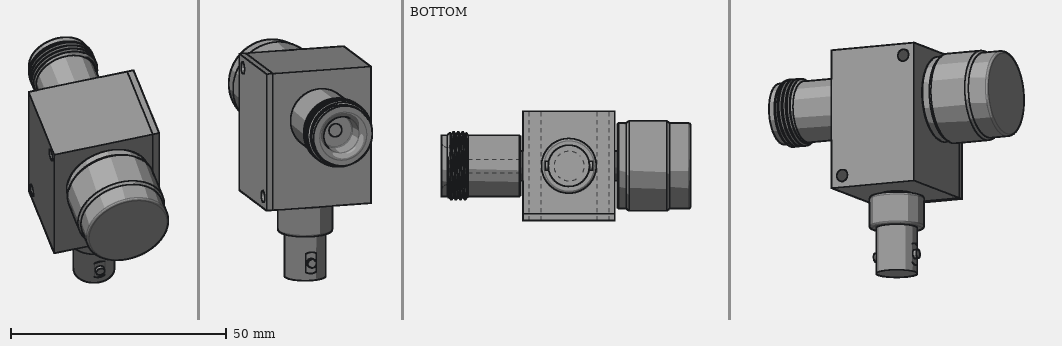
import cadquery as cq
HOUSING_WIDTH = 21.35
HOUSING_HEIGHT = 32.65
HOUSING_TOP = 11.35
BOX_DEPTH = 25.4
COVER_THICKNESS = 1.55
MOUNT_HOLE_DIAMETER = 2.8
MOUNT_HOLE_INSET = 2.8

HOUSING_RIGHT = HOUSING_WIDTH / 2
HOUSING_BOTTOM = HOUSING_TOP - HOUSING_HEIGHT
BOX_BACK = BOX_DEPTH / 2
COVER_JOINT = BOX_BACK - COVER_THICKNESS

NECK_DIAMETER = 6.95

JACK_LENGTH = 18.95
JACK_DIAMETER = 14.3
JACK_NECK_LENGTH = 0.45
JACK_REAR_CHAMFER = 0.4
BORE_MOUTH_DIAMETER = 8.55
BORE_FLOOR_DIAMETER = 8.05
BORE_DEPTH = 5.95
BORE_MOUTH_RADIUS = 1.45
BORE_FLOOR_RADIUS = 0.2
BORE_FLOOR = JACK_LENGTH - BORE_DEPTH
CONTACT_DIAMETER = 3.1

THREAD_DIAMETER = 15.75
THREAD_SETBACK = 1.4
THREAD_LENGTH = 4.85
THREAD_PITCH = 1.06
GROOVE_DEPTH = 0.6
GROOVE_WIDTH = 0.85
GROOVE_ROOT_WIDTH = 0.1
GROOVE_TURNS = 6.5
GROOVE_START_SETBACK = 7.35
GROOVE_OVERSHOOT = 0.2
BAND_WALL = 1.15

PLUG_LENGTH = 17.6
PLUG_DIAMETER = 19.9
PLUG_NECK_LENGTH = 0.5
PLUG_REAR_CHAMFER = 0.35
PLUG_TIP_RADIUS = 0.5
GRIP_DIAMETER = 20.95
GRIP_START = 2.6
GRIP_END = 12.75
GRIP_BEVEL_LENGTH = 0.7

BAYONET_LENGTH = 18.95
BAYONET_NECK_LENGTH = 0.75
COLLAR_DIAMETER = 12.75
COLLAR_END = 8.15
COLLAR_ROUNDING = 0.5
BARREL_DIAMETER = 9.6
LUG_DISTANCE = 14.7
LUG_DIAMETER = 2.1
LUG_SPAN = 11.05
SPOT_FACE_DIAMETER = 5.1
SPOT_FACE_SPAN = 9.25


def rod(diameter, start, end):
    """A cylinder on the Z axis between two heights."""
    return cq.Workplane("XY").workplane(offset=start).circle(diameter / 2).extrude(end - start)


def make_box_layer(y_start, y_end):
    """A slice of the rectangular box with the two diagonal mounting holes through it."""
    hole_x = HOUSING_RIGHT - MOUNT_HOLE_INSET
    hole_places = [
        (hole_x, HOUSING_TOP - MOUNT_HOLE_INSET),
        (-hole_x, HOUSING_BOTTOM + MOUNT_HOLE_INSET),
    ]
    face = cq.Workplane("XZ", origin=(0, y_end, 0))
    thickness = y_end - y_start
    middle_z = (HOUSING_TOP + HOUSING_BOTTOM) / 2
    layer = face.center(0, middle_z).rect(HOUSING_WIDTH, HOUSING_HEIGHT).extrude(thickness)
    holes = face.pushPoints(hole_places).circle(MOUNT_HOLE_DIAMETER / 2).extrude(thickness)
    return layer.cut(holes)


def make_groove():
    """The helical V groove of the thread, as a cutter."""
    start = JACK_LENGTH - GROOVE_START_SETBACK
    root_radius = THREAD_DIAMETER / 2 - GROOVE_DEPTH
    outer_radius = THREAD_DIAMETER / 2 + GROOVE_OVERSHOOT
    root_half = GROOVE_ROOT_WIDTH / 2
    flank_slope = (GROOVE_WIDTH / 2 - root_half) / GROOVE_DEPTH
    outer_half = GROOVE_WIDTH / 2 + flank_slope * GROOVE_OVERSHOOT
    helix = cq.Wire.makeHelix(
        THREAD_PITCH, GROOVE_TURNS * THREAD_PITCH, root_radius, center=cq.Vector(0, 0, start)
    )
    profile = (
        cq.Workplane("XZ")
        .moveTo(root_radius, start - root_half)
        .lineTo(outer_radius, start - outer_half)
        .lineTo(outer_radius, start + outer_half)
        .lineTo(root_radius, start + root_half)
        .close()
    )
    return profile.sweep(cq.Workplane(obj=helix), isFrenet=True)


def make_thread():
    """The bevelled threaded sleeve."""
    band_end = JACK_LENGTH - THREAD_SETBACK
    bevel = (THREAD_DIAMETER - JACK_DIAMETER) / 2
    band = rod(THREAD_DIAMETER, band_end - THREAD_LENGTH, band_end).edges().chamfer(bevel)
    sleeve_end = JACK_LENGTH + THREAD_LENGTH
    sleeve = rod(THREAD_DIAMETER, 0, sleeve_end)
    sleeve = sleeve.cut(rod(THREAD_DIAMETER - 2 * BAND_WALL, 0, sleeve_end))
    return sleeve.cut(make_groove()).intersect(band)


def make_bore():
    """The jack's tapered bore with its flared mouth and rounded floor corner, as a cutter."""
    mouth_radius = BORE_MOUTH_DIAMETER / 2
    bore = (
        cq.Workplane("XZ")
        .moveTo(0, BORE_FLOOR)
        .lineTo(BORE_FLOOR_DIAMETER / 2, BORE_FLOOR)
        .lineTo(mouth_radius, JACK_LENGTH - BORE_MOUTH_RADIUS)
        .radiusArc((mouth_radius + BORE_MOUTH_RADIUS, JACK_LENGTH), BORE_MOUTH_RADIUS)
        .lineTo(0, JACK_LENGTH)
        .close()
        .revolve(360, (0, 0), (0, 1))
    )
    return bore.faces("<Z").edges().fillet(BORE_FLOOR_RADIUS)


def make_contact():
    """The centre contact, from the housing face to the floor of the jack's bore."""
    return rod(CONTACT_DIAMETER, 0, BORE_FLOOR)


def make_jack():
    body = rod(JACK_DIAMETER, JACK_NECK_LENGTH, JACK_LENGTH)
    body = body.faces("<Z").edges().chamfer(JACK_REAR_CHAMFER)
    neck = rod(NECK_DIAMETER, 0, JACK_NECK_LENGTH)
    return body.union(make_thread()).union(neck).cut(make_bore()).cut(make_contact())


def make_plug():
    body = rod(PLUG_DIAMETER, PLUG_NECK_LENGTH, PLUG_LENGTH)
    body = body.faces("<Z").edges().chamfer(PLUG_REAR_CHAMFER)
    body = body.faces(">Z").edges().fillet(PLUG_TIP_RADIUS)
    grip = (
        cq.Workplane("XZ")
        .moveTo(0, GRIP_START)
        .lineTo(PLUG_DIAMETER / 2, GRIP_START)
        .lineTo(GRIP_DIAMETER / 2, GRIP_START + GRIP_BEVEL_LENGTH)
        .lineTo(GRIP_DIAMETER / 2, GRIP_END - GRIP_BEVEL_LENGTH)
        .lineTo(PLUG_DIAMETER / 2, GRIP_END)
        .lineTo(0, GRIP_END)
        .close()
        .revolve(360, (0, 0), (0, 1))
    )
    neck = rod(NECK_DIAMETER, 0, PLUG_NECK_LENGTH)
    return body.union(grip).union(neck)


def make_bayonet():
    neck = rod(NECK_DIAMETER, 0, BAYONET_NECK_LENGTH)
    collar = rod(COLLAR_DIAMETER, BAYONET_NECK_LENGTH, COLLAR_END)
    collar = collar.faces("<Z or >Z").edges().fillet(COLLAR_ROUNDING)
    barrel = rod(BARREL_DIAMETER, COLLAR_END, BAYONET_LENGTH)
    for side in (-1, 1):
        flat = cq.Workplane("YZ", origin=(side * SPOT_FACE_SPAN / 2, 0, LUG_DISTANCE))
        barrel = barrel.cut(flat.circle(SPOT_FACE_DIAMETER / 2).extrude(side * LUG_SPAN / 2))
    lug_axis = cq.Workplane("YZ", origin=(0, 0, LUG_DISTANCE))
    lugs = lug_axis.circle(LUG_DIAMETER / 2).extrude(LUG_SPAN / 2, both=True)
    return neck.union(collar).union(barrel).union(lugs)


def place_left(body):
    """Turn a body that points along +Z to point out of the housing's -X face."""
    return body.rotate((0, 0, 0), (0, 1, 0), -90).translate((-HOUSING_RIGHT, 0, 0))


def place_right(body):
    """Turn a body that points along +Z to point out of the housing's +X face."""
    return body.rotate((0, 0, 0), (0, 1, 0), 90).translate((HOUSING_RIGHT, 0, 0))


def place_below(body):
    """Turn a body that points along +Z to point out of the housing's -Z face."""
    return body.rotate((0, 0, 0), (1, 0, 0), 180).translate((0, 0, HOUSING_BOTTOM))


housing = make_box_layer(-BOX_BACK, COVER_JOINT)
cover = make_box_layer(COVER_JOINT, BOX_BACK)
jack = place_left(make_jack())
contact = place_left(make_contact())
plug = place_right(make_plug())
bayonet = place_below(make_bayonet())

result = cq.Compound.makeCompound(
    [housing.val(), cover.val(), jack.val(), contact.val(), plug.val(), bayonet.val()]
)